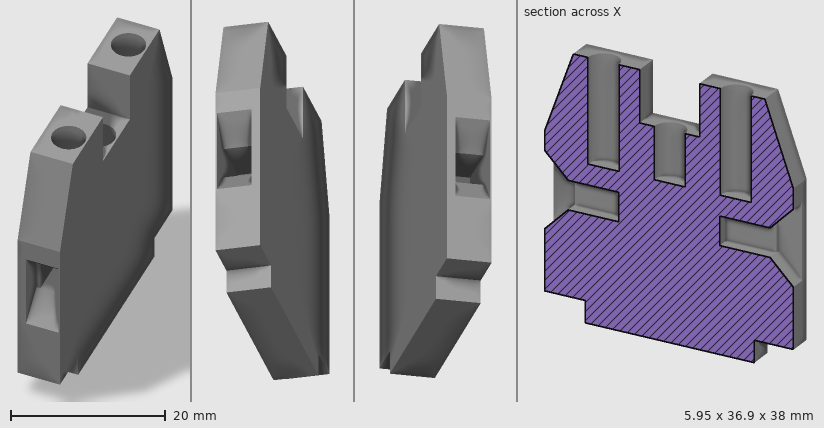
import cadquery as cq

thickness = 5.95
length = 36.85
height = 38.0
shoulder_height = 26.2
top_length = 28.42
notch_length = 8.8
notch_depth = 7.6
foot_length = 25.08
foot_height = 3.2
centre_y = 0.08

screw_diameter = 4.55
screw_x = 3.45
screw_spacing = 9.8
screw_floor = 22.8

entry_height = 11.1
entry_centre_z = 17.67
throat_width = 4.03
throat_height = 4.15
funnel_depth = (entry_height - throat_height) / 2
entry_left = screw_x - screw_diameter / 2
entry_right = screw_x + screw_diameter / 2

throat_end_y = screw_spacing - screw_diameter / 2


def make_body():
    """Plate with sloped shoulders, a foot below and a notch in the top."""
    half_length = length / 2
    half_top = top_length / 2
    blank = (
        cq.Workplane("YZ")
        .polyline([
            (-half_length, foot_height),
            (half_length, foot_height),
            (half_length, shoulder_height),
            (half_top, height),
            (-half_top, height),
            (-half_length, shoulder_height),
        ])
        .close()
        .extrude(thickness)
    )
    y_centred = (False, True, False)
    foot = cq.Workplane("XY", origin=(0, centre_y, 0)).box(thickness, foot_length, foot_height, centered=y_centred)
    notch = cq.Workplane("XY", origin=(0, centre_y, height - notch_depth)).box(
        thickness, notch_length, notch_depth, centered=y_centred
    )
    return blank.union(foot).cut(notch)


def make_screw_holes():
    """Three holes in a row, ending at a common level above the wire throats."""
    centres = [(screw_x, centre_y + y) for y in (-screw_spacing, 0, screw_spacing)]
    return (
        cq.Workplane("XY", origin=(0, 0, screw_floor))
        .pushPoints(centres)
        .circle(screw_diameter / 2)
        .extrude(height - screw_floor)
    )


def make_wire_entry():
    """Tapered funnel in the -Y end, leading to a narrower straight throat."""
    face_y = -length / 2
    funnel_end_y = face_y + funnel_depth
    funnel_outline = [
        (face_y, entry_centre_z - entry_height / 2),
        (funnel_end_y, entry_centre_z - throat_height / 2),
        (funnel_end_y, entry_centre_z + throat_height / 2),
        (face_y, entry_centre_z + entry_height / 2),
    ]
    funnel = (
        cq.Workplane("YZ", origin=(entry_left, 0, 0))
        .polyline(funnel_outline)
        .close()
        .extrude(entry_right - entry_left)
    )
    throat_length = -throat_end_y - funnel_end_y
    throat = cq.Workplane("XY").box(throat_width, throat_length, throat_height, centered=(False, False, True))
    throat = throat.translate((entry_right - throat_width, funnel_end_y, entry_centre_z))
    return funnel.union(throat)


wire_entry = make_wire_entry()
result = make_body().cut(make_screw_holes()).cut(wire_entry).cut(wire_entry.mirror("XZ"))